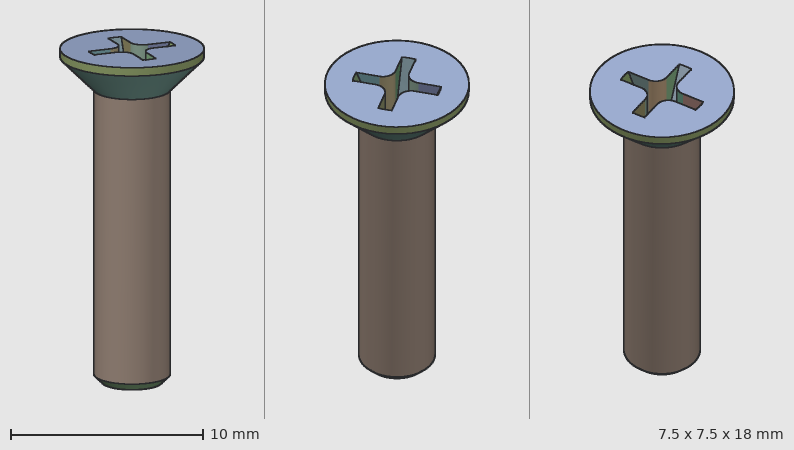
import cadquery as cq

length = 18.0
head_diameter = 7.5
shank_diameter = 4.0
rim_height = 0.45
tip_chamfer = 0.43

recess_top_radius = 2.32
recess_floor_radius = 1.15
recess_depth = 2.88
arm_width = 0.74
corner_radius = 0.68

head_radius = head_diameter / 2
shank_radius = shank_diameter / 2
cone_height = head_radius - shank_radius
head_height = rim_height + cone_height


def revolve_about_z(profile):
    """Full revolution of a closed outline of (radius, height) points."""
    return cq.Workplane("XZ").polyline(profile).close().revolve(360, (0, 0), (0, 1))


def screw_body():
    """Revolved shank with a chamfered tip and a countersunk head."""
    profile = [
        (0, 0),
        (shank_radius - tip_chamfer, 0),
        (shank_radius, tip_chamfer),
        (shank_radius, length - head_height),
        (head_radius, length - rim_height),
        (head_radius, length),
        (0, length),
    ]
    return revolve_about_z(profile)


def cross_recess():
    """Cross with rounded inner corners, its arm ends bounded by a tapering cone."""
    floor_z = length - recess_depth
    arm_length = 2 * recess_top_radius
    floor_plane = cq.Workplane("XY").workplane(offset=floor_z)
    arm_x = floor_plane.rect(arm_length, arm_width).extrude(recess_depth)
    arm_y = floor_plane.rect(arm_width, arm_length).extrude(recess_depth)
    inner_corners = cq.selectors.BoxSelector(
        (-arm_width, -arm_width, floor_z),
        (arm_width, arm_width, length),
    )
    cross = arm_x.union(arm_y).edges("|Z").edges(inner_corners).fillet(corner_radius)
    cone_profile = [
        (0, floor_z),
        (recess_floor_radius, floor_z),
        (recess_top_radius, length),
        (0, length),
    ]
    cone = revolve_about_z(cone_profile)
    return cross.intersect(cone)


result = screw_body().cut(cross_recess())